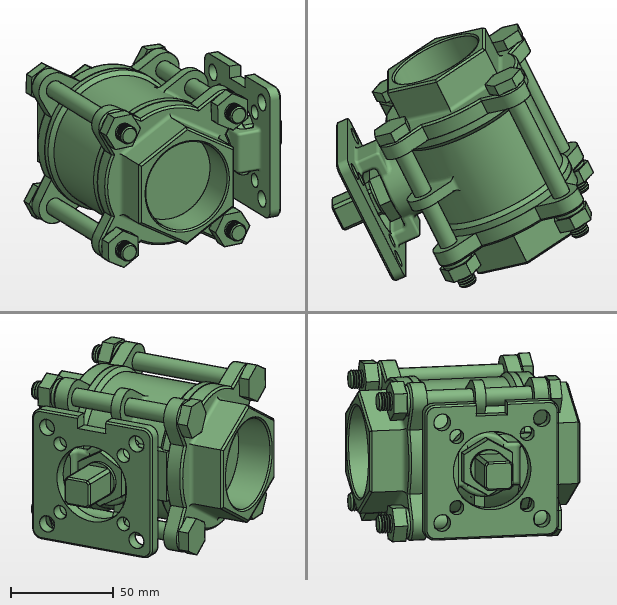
import cadquery as cq
import math


half_length = 52.9
hex_flats = 52.9
hex_end_chamfer = 1.1
hex_root_fillet = 1.9
bore_radius = 22.7
bore_chamfer = 0.8
bore_depth = 18.3

flange_radius = 35.8
flange_inner_x = 26.9
flange_outer_x = 35.2
flange_chamfer = 1.1
bolt_offset = 30.5
lug_radius = 8.6
lug_taper = 15

body_radius = 33.9
ring_radius = 36.0
ring_inner_x = 23.2
mid_lug_thickness = 5.2
mid_lug_fillet = 1.9
pad_height = 36.1
pad_right_x = -8.5
pad_half_width = 12.7
rib_end_z = 27.7

bolt_radius = 4.5
bolt_hex_radius = 9.6
bolt_head_height = 5.4
head_turn = -2
nut_turn = 1.5
washer_radius = 7.5
washer_thickness = 1.7
nut_height = 6.7
bolt_tip_x = 49.8
thread_pitch = 1.3
thread_depth = 0.7

boss_radius = 15.7
boss_top_y = 49.0
boss_fillet = 1.8
boss_foot_fillet = 1.9
gland_nut_flats = 24.3
gland_nut_top_y = 55.0
neck_radius = 9.1
stem_width = 14.2
stem_edge_chamfer = 1.5
stem_tip_chamfer = 0.8
stem_top_y = 78.0

plate_width = 67.2
plate_bottom_y = 56.8
plate_top_y = 63.0
plate_corner_radius = 5.1
plate_edge_chamfer = 1.0
plate_opening_radius = 19.5
notch_width = 15.7
notch_depth = 6.1
outer_hole_offset = 25.0
outer_hole_diameter = 8.3
inner_hole_offset = 17.7
inner_hole_diameter = 7.0

arm_inner_x = 17.1
arm_outer_x = 24.1
arm_bottom_y = 44.1
arm_shelf_y = 49.2
arm_half_depth = 10.4
arm_bend_radius = 1.9
arm_corner_radius = 1.5
arm_outer_fillet = 1.3
arm_inner_fillet = 1.8
arm_root_fillet = 2.1
arm_plate_fillet = 1.7

margin = 0.1


def along_x(start_x):
    """Workplane facing +X, with local axes Y and Z."""
    return cq.Workplane("YZ", origin=(start_x, 0, 0))


def cylinder_x(radius, start_x, end_x):
    return along_x(start_x).circle(radius).extrude(end_x - start_x)


def cylinder_y(radius, start_y, end_y):
    return cq.Workplane("XZ", origin=(0, start_y, 0)).circle(radius).extrude(start_y - end_y)


def hexagon(corner_radius, turn):
    """Corner points of a hexagon, with one corner turned from the first local axis."""
    angles = [math.radians(turn + 60 * i) for i in range(6)]
    return [(corner_radius * math.cos(a), corner_radius * math.sin(a)) for a in angles]


def box(x_range, y_range, z_range):
    (x0, x1), (y0, y1), (z0, z1) = x_range, y_range, z_range
    return cq.Workplane("XY").box(x1 - x0, y1 - y0, z1 - z0, centered=False).translate((x0, y0, z0))


def inside_box(half_x, y_range, half_z):
    """Selector for edges lying wholly inside a box centred on the XY and YZ planes."""
    low = (-half_x, y_range[0], -half_z)
    high = (half_x, y_range[1], half_z)
    return cq.selectors.BoxSelector(low, high, boundingbox=True)


def round_bolts(shape):
    """Four copies of a shape on the +Y bolt diagonal, turned about the pipe axis."""
    copies = [shape.rotate((0, 0, 0), (1, 0, 0), 90 * i) for i in range(4)]
    return copies[0].union(copies[1]).union(copies[2]).union(copies[3])


def make_lugs(start_x, end_x):
    """Two ears on the +Y side, each narrowing towards its bolt and rounded around it."""
    bolt_reach = bolt_offset * math.sqrt(2)
    taper = math.radians(lug_taper)
    tangent_x = bolt_reach + lug_radius * math.sin(taper)
    tangent_y = lug_radius * math.cos(taper)
    root_x = body_radius / 2
    root_y = tangent_y + (tangent_x - root_x) * math.tan(taper)
    lug = (
        along_x(start_x)
        .moveTo(root_x, -root_y)
        .lineTo(tangent_x, -tangent_y)
        .threePointArc((bolt_reach + lug_radius, 0), (tangent_x, tangent_y))
        .lineTo(root_x, root_y)
        .close()
        .extrude(end_x - start_x)
        .rotate((0, 0, 0), (1, 0, 0), 45)
    )
    return lug.union(lug.mirror("XY"))


def make_body():
    """Round barrel with a filleted middle lug under each of the two +Y bolts."""
    half_lug = mid_lug_thickness / 2
    barrel = cylinder_x(body_radius, -flange_inner_x, flange_inner_x)
    barrel = barrel.union(make_lugs(-half_lug, half_lug))
    lug_feet = inside_box(half_lug + margin, (0, body_radius + margin), body_radius)
    return barrel.edges(lug_feet).fillet(mid_lug_fillet)


def make_rings():
    """Raised ring with a bevelled inner side at each end of the barrel."""
    step = ring_radius - body_radius
    ring = (
        cq.Workplane("XY")
        .moveTo(ring_inner_x - step, 0)
        .lineTo(ring_inner_x - step, body_radius)
        .lineTo(ring_inner_x, ring_radius)
        .lineTo(flange_inner_x, ring_radius)
        .lineTo(flange_inner_x, 0)
        .close()
        .revolve(360, (0, 0, 0), (1, 0, 0))
    )
    return ring.union(ring.mirror("YZ"))


def make_pipe_end():
    """Flange, hexagonal socket and blind bore of the +X end."""
    lugs = make_lugs(flange_inner_x, flange_outer_x)
    flange = cylinder_x(flange_radius, flange_inner_x, flange_outer_x)
    flange = flange.union(lugs).union(lugs.mirror("XZ"))
    flange = flange.faces(">X").edges().chamfer(flange_chamfer)
    corner_radius = hex_flats / math.sqrt(3)
    socket = along_x(flange_outer_x).polyline(hexagon(corner_radius, 90)).close()
    socket = socket.extrude(half_length - flange_outer_x)
    socket = socket.faces(">X").edges().chamfer(hex_end_chamfer)
    end = flange.union(socket)
    socket_reach = corner_radius + margin
    socket_root = inside_box(flange_outer_x + margin, (-socket_reach, socket_reach), socket_reach)
    end = end.edges(socket_root).fillet(hex_root_fillet)
    bore = cylinder_x(bore_radius, half_length - bore_depth, half_length)
    end = end.cut(bore)
    return end.faces(">X").edges("%CIRCLE").chamfer(bore_chamfer)


def make_bolt():
    """Bolt along X with its head at -X, washer, nut and ringed thread at +X."""
    head_x = -flange_outer_x - bolt_head_height
    nut_x = flange_outer_x + washer_thickness
    nut_end_x = nut_x + nut_height
    head = along_x(head_x).polyline(hexagon(bolt_hex_radius, head_turn)).close().extrude(bolt_head_height)
    nut = along_x(nut_x).polyline(hexagon(bolt_hex_radius, 30 + nut_turn)).close().extrude(nut_height)
    washer = cylinder_x(washer_radius, flange_outer_x, nut_x)
    shank = cylinder_x(bolt_radius, -flange_outer_x, nut_end_x)

    thread = cq.Workplane("XY").moveTo(nut_x, 0).lineTo(nut_x, bolt_radius).lineTo(nut_end_x, bolt_radius)
    turns = int((bolt_tip_x - nut_end_x) / thread_pitch)
    for i in range(turns):
        groove_x = nut_end_x + i * thread_pitch
        thread = thread.lineTo(groove_x + thread_pitch / 2, bolt_radius - thread_depth)
        thread = thread.lineTo(groove_x + thread_pitch, bolt_radius)
    thread = thread.lineTo(bolt_tip_x, bolt_radius - thread_depth).lineTo(bolt_tip_x, 0).close()
    thread = thread.revolve(360, (0, 0, 0), (1, 0, 0))

    bolt = head.union(shank).union(washer).union(nut).union(thread)
    return bolt.translate((0, bolt_offset, bolt_offset))


def make_stem():
    """Square stem with its round neck and hexagonal gland nut."""
    corner_radius = gland_nut_flats / math.sqrt(3)
    gland_nut = (
        cq.Workplane("XZ", origin=(0, boss_top_y, 0))
        .polyline(hexagon(corner_radius, 90))
        .close()
        .extrude(boss_top_y - gland_nut_top_y)
    )
    neck = cylinder_y(neck_radius, gland_nut_top_y, plate_bottom_y)
    stem = (
        cq.Workplane("XZ", origin=(0, plate_bottom_y, 0))
        .rect(stem_width, stem_width)
        .extrude(plate_bottom_y - stem_top_y)
        .edges("|Y")
        .chamfer(stem_edge_chamfer)
        .faces(">Y")
        .edges()
        .chamfer(stem_tip_chamfer)
    )
    return gland_nut.union(neck).union(stem)


def make_arm():
    """L-shaped arm on the +X side, from inside the housing out and up to the plate."""
    arm = (
        cq.Workplane("XY", origin=(0, 0, -arm_half_depth))
        .moveTo(neck_radius, arm_bottom_y)
        .lineTo(arm_outer_x, arm_bottom_y)
        .lineTo(arm_outer_x, plate_bottom_y)
        .lineTo(arm_inner_x, plate_bottom_y)
        .lineTo(arm_inner_x, arm_shelf_y)
        .lineTo(neck_radius, arm_shelf_y)
        .close()
        .extrude(2 * arm_half_depth)
    )
    near = cq.selectors.NearestToPointSelector
    arm = arm.edges(near((arm_outer_x, arm_bottom_y, 0))).fillet(arm_corner_radius)
    arm = arm.edges(near((arm_inner_x, arm_shelf_y, 0))).fillet(arm_bend_radius)
    leg_middle_y = (arm_bottom_y + plate_bottom_y) / 2
    for side_z in (-arm_half_depth, arm_half_depth):
        arm = arm.edges(near((arm_outer_x, leg_middle_y, side_z))).fillet(arm_outer_fillet)
        arm = arm.edges(near((arm_inner_x, leg_middle_y, side_z))).fillet(arm_inner_fillet)
    return arm


def make_bracket():
    """Mounting plate, with its holes and notch, on its two arms."""
    plate = (
        cq.Workplane("XZ", origin=(0, plate_bottom_y, 0))
        .rect(plate_width, plate_width)
        .extrude(plate_bottom_y - plate_top_y)
        .edges("|Y")
        .fillet(plate_corner_radius)
        .faces(">Y")
        .edges()
        .chamfer(plate_edge_chamfer)
    )
    arm = make_arm()
    plate = plate.union(arm).union(arm.mirror("YZ"))
    joint_reach = arm_outer_x + margin
    joint_y = (plate_bottom_y - margin, plate_bottom_y + margin)
    arm_joints = inside_box(joint_reach, joint_y, arm_half_depth + margin)
    plate = plate.edges(arm_joints).fillet(arm_plate_fillet)
    plate = plate.cut(cylinder_y(plate_opening_radius, plate_bottom_y, plate_top_y))
    for offset, diameter in (
        (outer_hole_offset, outer_hole_diameter),
        (inner_hole_offset, inner_hole_diameter),
    ):
        holes = cq.Workplane("XZ", origin=(0, plate_bottom_y, 0))
        holes = holes.rect(2 * offset, 2 * offset, forConstruction=True).vertices()
        plate = plate.cut(holes.circle(diameter / 2).extrude(plate_bottom_y - plate_top_y))
    half_notch = notch_width / 2
    half_plate = plate_width / 2
    notch_z = (half_plate - notch_depth, half_plate)
    notch = box((-half_notch, half_notch), (plate_bottom_y, plate_top_y), notch_z)
    return plate.cut(notch)


def make_housing():
    """Round stem housing with its side pad and ribs to the middle lugs."""
    boss = cylinder_y(boss_radius, 0, boss_top_y).faces(">Y").edges().fillet(boss_fillet)
    pad_x = (-flange_inner_x, pad_right_x)
    pad_z = (-pad_half_width, pad_half_width)
    pad = box(pad_x, (0, pad_height), pad_z)
    flare_bend = boss_foot_fillet * (1 - math.sqrt(0.5))
    flare = (
        cq.Workplane("XY")
        .lineTo(boss_radius + boss_foot_fillet, 0)
        .lineTo(boss_radius + boss_foot_fillet, pad_height)
        .threePointArc(
            (boss_radius + flare_bend, pad_height + flare_bend),
            (boss_radius, pad_height + boss_foot_fillet),
        )
        .lineTo(0, pad_height + boss_foot_fillet)
        .close()
        .revolve(360, (0, 0, 0), (0, 1, 0))
        .intersect(box(pad_x, (0, boss_top_y), pad_z))
    )
    housing = boss.union(pad).union(flare)

    half_rib = mid_lug_thickness / 2
    rib = box((-half_rib, half_rib), (0, pad_height), (-rib_end_z, rib_end_z))
    return housing.union(rib)


pipe_end = make_pipe_end()
result = make_body().union(make_rings()).union(pipe_end).union(pipe_end.mirror("YZ"))
result = result.union(make_housing()).union(make_bracket())

root_y = (arm_bottom_y - margin, arm_bottom_y + margin)
arm_roots = inside_box(boss_radius + margin, root_y, arm_half_depth + margin)
result = result.edges(arm_roots).fillet(arm_root_fillet)
result = result.union(make_stem()).union(round_bolts(make_bolt()))